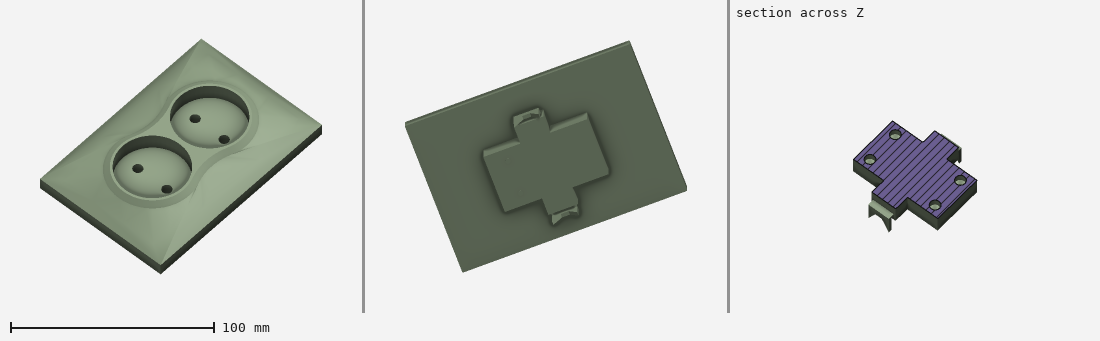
import cadquery as cq
import math

plate_width = 80.0
plate_length = 118.0
plate_thickness = 7.3
face_height = 15.2

socket_pitch = 41.9
collar_top_radius = 20.9
waist_top_radius = 35.4
collar_flare = 3.4
collar_height = 2.0

well_diameter = 39.0
well_depth = 9.5
pin_diameter = 5.5
pin_pitch = 19.2
pin_depth = 11.8

body_width = 47.9
body_length = 54.5
body_core_width = 30.0
body_arm_length = 15.6
body_depth = 12.7

claw_width = 13.2
claw_span = 55.3
claw_leg_thickness = 1.9
claw_arm_thickness = 1.4
claw_top = -8.0
claw_tip = -19.8
claw_notch_top = -12.3
claw_notch_width = 4.1

stud_diameter = 2.5
stud_height = 0.4
stud_pitch = 17.5
stud_y = 16.6

dome_side_bulge = 1.1
dome_end_bulge = 1.1
crease_bulge = 0.8
patch_degree = 2

foot_height = face_height - collar_height
socket_y = socket_pitch / 2
waist_center_x = math.sqrt((collar_top_radius + waist_top_radius) ** 2 - socket_y**2)


def collar_edges(offset, z):
    """Long-side waist arc and end arc of the collar outline, on +X and +Y."""
    end_radius = collar_top_radius + offset
    share = end_radius / (collar_top_radius + waist_top_radius)
    joint_x = waist_center_x * share
    joint_y = socket_y * (1 - share)
    waist_x = waist_center_x - waist_top_radius + offset
    waist = cq.Edge.makeThreePointArc(
        cq.Vector(joint_x, -joint_y, z), cq.Vector(waist_x, 0, z), cq.Vector(joint_x, joint_y, z)
    )
    end = cq.Edge.makeThreePointArc(
        cq.Vector(joint_x, joint_y, z),
        cq.Vector(0, socket_y + end_radius, z),
        cq.Vector(-joint_x, joint_y, z),
    )
    return waist, end


def half_turn(shape):
    """Copy of a shape turned 180 degrees about the Z axis."""
    return shape.rotate(cq.Vector(0, 0, 0), cq.Vector(0, 0, 1), 180)


def collar_wire(offset, z):
    """Closed figure-eight outline, grown by an offset from the collar top."""
    waist, end = collar_edges(offset, z)
    return cq.Wire.assembleEdges([waist, end, half_turn(waist), half_turn(end)])


def raised_midpoint(start, end, rise):
    """Point half-way between two points, lifted along Z."""
    return (start + end) * 0.5 + cq.Vector(0, 0, rise)


def make_cover():
    """Plate, pillow-shaped dome and the flat collar foot, as one closed shell."""
    half_x = plate_width / 2
    half_y = plate_length / 2
    waist, end = collar_edges(collar_flare, foot_height)
    right_corner = cq.Vector(half_x, half_y, plate_thickness)
    left_corner = cq.Vector(-half_x, half_y, plate_thickness)
    lower_corner = cq.Vector(half_x, -half_y, plate_thickness)

    def crease(corner, joint):
        return cq.Edge.makeThreePointArc(corner, raised_midpoint(corner, joint, crease_bulge), joint)

    right_crease = crease(right_corner, end.startPoint())
    left_crease = crease(left_corner, end.endPoint())
    lower_crease = crease(lower_corner, waist.startPoint())

    side_mid = raised_midpoint(cq.Vector(half_x, 0, plate_thickness), waist.positionAt(0.5), dome_side_bulge)
    end_mid = raised_midpoint(cq.Vector(0, half_y, plate_thickness), end.positionAt(0.5), dome_end_bulge)
    long_edge = cq.Edge.makeLine(lower_corner, right_corner)
    short_edge = cq.Edge.makeLine(right_corner, left_corner)
    side_outline = [long_edge, right_crease, waist, lower_crease]
    end_outline = [short_edge, left_crease, end, right_crease]
    side_patch = cq.Face.makeNSidedSurface(side_outline, [side_mid], degree=patch_degree)
    end_patch = cq.Face.makeNSidedSurface(end_outline, [end_mid], degree=patch_degree)

    foot_face = cq.Face.makeFromWires(collar_wire(collar_flare, foot_height))
    patches = [side_patch, end_patch, half_turn(side_patch), half_turn(end_patch)]
    slab = cq.Workplane("XY").rect(plate_width, plate_length).extrude(plate_thickness)
    slab_faces = slab.faces("not >Z").vals()
    return cq.Solid.makeSolid(cq.Shell.makeShell(slab_faces + patches + [foot_face]))


def make_collar():
    """Flared rim that narrows from its foot to the flat top."""
    foot = collar_wire(collar_flare, foot_height)
    top = collar_wire(0, face_height)
    return cq.Solid.makeLoft([foot, top], True)


def make_body():
    """Two crossed blocks hanging from the underside of the plate."""
    lengthwise = cq.Workplane("XY").rect(body_core_width, body_length).extrude(-body_depth)
    crosswise = cq.Workplane("XY").rect(body_width, body_arm_length).extrude(-body_depth)
    return lengthwise.union(crosswise)


def make_claw():
    """Bent claw on the +X side: a short arm and a leg with two pointed prongs."""
    outer_x = claw_span / 2
    arm_start = body_core_width / 2
    arm = cq.Workplane("XY").box(
        outer_x - arm_start, claw_width, claw_arm_thickness, centered=(False, True, False)
    )
    arm = arm.translate((arm_start, 0, claw_top - claw_arm_thickness))
    leg = (
        cq.Workplane("YZ", origin=(outer_x - claw_leg_thickness, 0, 0))
        .moveTo(-claw_width / 2, claw_top)
        .lineTo(claw_width / 2, claw_top)
        .lineTo(claw_width / 2, claw_tip)
        .lineTo(claw_notch_width / 2, claw_notch_top)
        .lineTo(-claw_notch_width / 2, claw_notch_top)
        .lineTo(-claw_width / 2, claw_tip)
        .close()
        .extrude(claw_leg_thickness)
    )
    return arm.union(leg)


def make_studs():
    """Pair of small round studs under one end of the body."""
    return (
        cq.Workplane("XY", origin=(0, stud_y, -body_depth))
        .rarray(stud_pitch, 1.2, 2, 1)
        .circle(stud_diameter / 2)
        .extrude(-stud_height)
    )


def make_sockets():
    """Material removed by the two wells and their pin holes."""
    wells = (
        cq.Workplane("XY", origin=(0, 0, face_height))
        .rarray(1.2, socket_pitch, 1, 2)
        .circle(well_diameter / 2)
        .extrude(-well_depth)
    )
    pins = (
        cq.Workplane("XY", origin=(0, 0, face_height - well_depth))
        .rarray(pin_pitch, socket_pitch, 2, 2)
        .circle(pin_diameter / 2)
        .extrude(-pin_depth)
    )
    return wells.union(pins)


claw = make_claw()
result = (
    cq.Workplane(make_cover())
    .union(cq.Workplane(make_collar()))
    .union(make_body())
    .union(claw)
    .union(claw.mirror("YZ"))
    .union(make_studs())
    .cut(make_sockets())
)